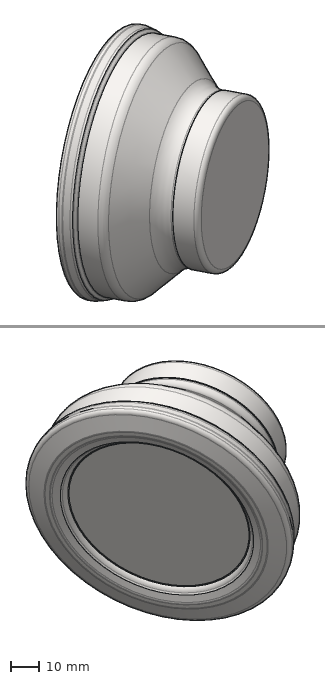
import cadquery as cq
import math

TOTAL_LENGTH = 50.1
SEAL_DIAMETER = 99.9
BODY_DIAMETER = 95.5
NECK_DIAMETER = 65.0
RELIEF_DIAMETER = 64.6

BARREL_START = 9.8
SHOULDER_START = 17.5
SHOULDER_ANGLE = math.radians(45)
SHOULDER_RADIUS = 5.0
NECK_BLEND_RADIUS = 10.0
RELIEF_LENGTH = 0.6
NECK_STEP_CHAMFER = 0.2
NECK_END_FILLET = 2.0
DISC_RADIUS = 33.8
DISC_FACE = 3.2

LIP_RADIUS = 41.9
LIP_ROUNDING = 1.6
LIP_SLOPE_X = 1.8
LIP_SLOPE_RADIUS = 48.4
RIM_BULGE_X = 2.3
RIM_BULGE_RADIUS = 49.5
RIM_FRONT_X = 3.3
RIM_BACK_X = 4.7
RIM_BACK_ROUNDING = 1.2
TAPER_BREAK_X = 7.4
TAPER_BREAK_RADIUS = 49.3
TAPER_END_X = 8.3
TAPER_END_RADIUS = 49.1
SKIRT_X = 8.6
SKIRT_RADIUS = 48.9
SKIRT_EDGE = 0.2
SKIRT_EDGE_LENGTH = 0.3

FUNNEL_RADIUS = 39.9
FUNNEL_ROUNDING = 1.2
FUNNEL_BREAK_X = 0.2
FUNNEL_BREAK_RADIUS = 39.1
THROAT_X = 1.0
THROAT_RADIUS = 36.3
BEAD_START_X = 1.5
BEAD_START_RADIUS = 35.7
BEAD_MID_X = 2.1
BEAD_MID_RADIUS = 34.8
BEAD_END_X = 3.1
BEAD_END_RADIUS = 34.2


def revolve_about_x(profile):
    return profile.close().revolve(360, (0, 0, 0), (1, 0, 0))


def make_plug():
    barrel_radius = BODY_DIAMETER / 2
    relief_radius = RELIEF_DIAMETER / 2
    neck_radius = NECK_DIAMETER / 2
    sin_full, cos_full = math.sin(SHOULDER_ANGLE), math.cos(SHOULDER_ANGLE)
    sin_half, cos_half = math.sin(SHOULDER_ANGLE / 2), math.cos(SHOULDER_ANGLE / 2)

    cone_start_x = SHOULDER_START + SHOULDER_RADIUS * sin_full
    cone_start_radius = barrel_radius - SHOULDER_RADIUS * (1 - cos_full)
    cone_end_radius = relief_radius + NECK_BLEND_RADIUS * (1 - cos_full)
    cone_end_x = cone_start_x + (cone_start_radius - cone_end_radius) / math.tan(SHOULDER_ANGLE)
    relief_start_x = cone_end_x + NECK_BLEND_RADIUS * sin_full
    relief_end_x = relief_start_x + RELIEF_LENGTH

    shoulder_mid = (
        SHOULDER_START + SHOULDER_RADIUS * sin_half,
        barrel_radius - SHOULDER_RADIUS * (1 - cos_half),
    )
    blend_mid = (
        relief_start_x - NECK_BLEND_RADIUS * sin_half,
        relief_radius + NECK_BLEND_RADIUS * (1 - cos_half),
    )
    profile = (
        cq.Workplane("XY")
        .moveTo(DISC_FACE, 0)
        .lineTo(DISC_FACE, DISC_RADIUS)
        .lineTo(BARREL_START, DISC_RADIUS)
        .lineTo(BARREL_START, barrel_radius)
        .lineTo(SHOULDER_START, barrel_radius)
        .threePointArc(shoulder_mid, (cone_start_x, cone_start_radius))
        .lineTo(cone_end_x, cone_end_radius)
        .threePointArc(blend_mid, (relief_start_x, relief_radius))
        .lineTo(relief_end_x, relief_radius)
        .lineTo(relief_end_x + NECK_STEP_CHAMFER, neck_radius)
        .lineTo(TOTAL_LENGTH, neck_radius)
        .lineTo(TOTAL_LENGTH, 0)
    )
    return revolve_about_x(profile).faces(">X").edges().fillet(NECK_END_FILLET)


def make_seal():
    rim_radius = SEAL_DIAMETER / 2
    seat_radius = BODY_DIAMETER / 2
    profile = (
        cq.Workplane("XY")
        .moveTo(0, FUNNEL_RADIUS)
        .lineTo(0, LIP_RADIUS)
        .lineTo(LIP_SLOPE_X, LIP_SLOPE_RADIUS)
        .threePointArc((RIM_BULGE_X, RIM_BULGE_RADIUS), (RIM_FRONT_X, rim_radius))
        .lineTo(RIM_BACK_X, rim_radius)
        .lineTo(TAPER_BREAK_X, TAPER_BREAK_RADIUS)
        .lineTo(TAPER_END_X, TAPER_END_RADIUS)
        .lineTo(SKIRT_X, SKIRT_RADIUS)
        .lineTo(BARREL_START - SKIRT_EDGE_LENGTH, seat_radius + SKIRT_EDGE)
        .lineTo(BARREL_START, seat_radius)
        .lineTo(BARREL_START, DISC_RADIUS)
        .lineTo(DISC_FACE, DISC_RADIUS)
        .lineTo(BEAD_END_X, BEAD_END_RADIUS)
        .threePointArc((BEAD_MID_X, BEAD_MID_RADIUS), (BEAD_START_X, BEAD_START_RADIUS))
        .lineTo(THROAT_X, THROAT_RADIUS)
        .lineTo(FUNNEL_BREAK_X, FUNNEL_BREAK_RADIUS)
    )
    sharp = revolve_about_x(profile)

    rim_back_edge = cq.selectors.NearestToPointSelector((RIM_BACK_X, 0, 0))
    inner_edge = cq.selectors.RadiusNthSelector(0)
    outer_edge = cq.selectors.RadiusNthSelector(1)
    seal = sharp.edges("%CIRCLE").edges(rim_back_edge).fillet(RIM_BACK_ROUNDING)
    seal = seal.faces("<X").edges(outer_edge).fillet(LIP_ROUNDING)
    return seal.faces("<X").edges(inner_edge).fillet(FUNNEL_ROUNDING)


plug = make_plug()
seal = make_seal()
result = cq.Compound.makeCompound([plug.val(), seal.val()])